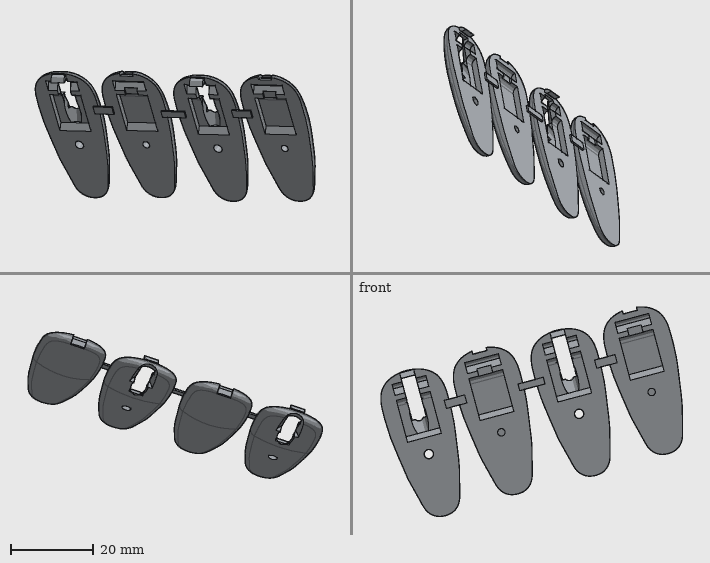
import cadquery as cq
import math


STRIP_TILT = 15.0
HOOK_POD_PITCH = 37.83
SOCKET_POD_OFFSET = 18.4
SOCKET_POD_RISE = 0.55

POD_TOP = 21.07
POD_TIP = -15.52
POD_HALF_WIDTH = 8.17
OUTLINE_RIGHT = [
    (2.5, 20.77), (4.75, 19.95), (6.95, 18.0), (7.92, 15.5), (POD_HALF_WIDTH, 12.0),
    (7.95, 6.0), (7.15, 0.0), (6.37, -5.0), (5.1, -10.0), (3.75, -13.75), (2.1, -15.1),
]
CROWN_Z = 6.5
HOOK_POD_HEIGHT = 3.45
SOCKET_POD_HEIGHT = 4.1
RIM_HEIGHT = 2.3
TOP_HEIGHT = 1.8
TIP_HEIGHT = 1.7
RIM_FILLET = 1.7

POCKET_WIDTH = 8.5
POCKET_DEPTH = 1.5
POCKET_BOTTOM = 4.1
POCKET_TOP = 14.65
POCKET_SLOPE = 1.4
GROOVE_BOTTOM = 15.9
GROOVE_TOP = 18.65
GROOVE_DEPTH = 1.3
GROOVE_ROUND = 1.1

SLOT_WIDTH = 3.5
SLOT_BOTTOM = 9.0
SLOT_TOP = 19.45
RELIEF_RADIUS = 2.0
RELIEF_SLOPE = 25.0
RELIEF_START = POCKET_BOTTOM + 0.2
VALLEY_RADIUS = 3.0
VALLEY_FLOOR = 0.8
VALLEY_BOTTOM = 13.5
HOOK_WIDTH = 3.55
HOOK_REACH = 1.84
HOOK_TOP = 20.85
HOOK_SHOULDER = 0.3
HOOK_BACK_MIDDLE = (-1.25, 20.25)
HOOK_ROOT = 0.75
HOOK_HEEL = 0.6
HOOK_HOLE_DIAMETER = 2.2

NOTCH_WIDTH = 3.5
RIM_NOTCH_FLOOR = 20.15
RIM_NOTCH_STEP = 0.65
RIM_NOTCH_DEEP_FLOOR = 19.45
RIM_NOTCH_HEIGHT = 2.05
BAR_NOTCH_BOTTOM = 14.2
BAR_NOTCH_TOP = 16.45
BAR_NOTCH_DEPTH = 0.5
SOCKET_HOLE_DIAMETER = 1.8
SOCKET_HOLE_DEPTH = 2.0

BAR_THICKNESS = 0.45
HOOK_POD_BAR = (7.0, 12.15, 9.6, 11.65)
SOCKET_POD_BAR = (6.95, 13.3, 8.6, 10.3)

ARC_MIDDLE = math.sqrt(0.5)
DOME_OVERRUN = 1.0
DOME_SWEEP = 30.0
CLEARANCE = 10.0


def box(x_min, x_max, y_min, y_max, z_min, z_max):
    size = (x_max - x_min, y_max - y_min, z_max - z_min)
    return cq.Workplane("XY").box(*size, centered=False).translate((x_min, y_min, z_min))


def centered_box(width, y_min, y_max, z_min, z_max):
    return box(-width / 2, width / 2, y_min, y_max, z_min, z_max)


def pin_hole(diameter, depth):
    return cq.Workplane("XZ").circle(diameter / 2).extrude(-depth)


def arc_radius(run, drop):
    """Radius of an arc that leaves level and drops by `drop` over `run`."""
    return (run ** 2 + drop ** 2) / (2 * drop)


def dome_half(height, end_z, end_height):
    """Crowned solid from the highest station to one end of the pod, curved both ways."""
    cross_radius = arc_radius(POD_HALF_WIDTH, height - RIM_HEIGHT)
    long_radius = arc_radius(abs(end_z - CROWN_Z), height - end_height)
    half_width = POD_HALF_WIDTH + DOME_OVERRUN
    edge_height = height - cross_radius + math.sqrt(cross_radius ** 2 - half_width ** 2)
    base = -CLEARANCE
    axis_y = height - long_radius
    toward_top = end_z > CROWN_Z
    section = (
        cq.Workplane("XY", origin=(0, 0, CROWN_Z))
        .moveTo(-half_width, base)
        .lineTo(-half_width, edge_height)
        .spline([(0, height), (half_width, edge_height)], includeCurrent=True)
        .lineTo(half_width, base)
        .close()
    )
    axis_end = 1 if toward_top else -1
    return section.revolve(DOME_SWEEP, (0, axis_y), (axis_end, axis_y))


def pod_blank(height):
    left = [(-x, z) for x, z in reversed(OUTLINE_RIGHT)]
    points = [(0, POD_TOP)] + OUTLINE_RIGHT + [(0, POD_TIP)] + left
    outline = cq.Workplane("XZ").spline(points, periodic=True).close().extrude(-CLEARANCE)
    dome = dome_half(height, POD_TOP, TOP_HEIGHT).union(dome_half(height, POD_TIP, TIP_HEIGHT))
    blank = outline.intersect(dome)
    rim = [edge for edge in blank.edges().vals() if is_rim(edge)]
    return blank.newObject(rim).fillet(RIM_FILLET)


def is_rim(edge):
    """True for the long edges between the side wall and the dome."""
    bounds = edge.BoundingBox()
    above_flat_face = bounds.ymin > TIP_HEIGHT / 2
    crosses_pod = bounds.zlen < bounds.xlen / 2
    return above_flat_face and not crosses_pod


def pocket():
    section = (
        cq.Workplane("YZ")
        .moveTo(-CLEARANCE, POCKET_BOTTOM)
        .lineTo(0, POCKET_BOTTOM)
        .lineTo(POCKET_DEPTH, POCKET_BOTTOM + POCKET_SLOPE)
        .lineTo(POCKET_DEPTH, POCKET_TOP - POCKET_SLOPE)
        .threePointArc(
            (POCKET_DEPTH * ARC_MIDDLE, POCKET_TOP - POCKET_SLOPE * (1 - ARC_MIDDLE)),
            (0, POCKET_TOP),
        )
        .lineTo(-CLEARANCE, POCKET_TOP)
        .close()
    )
    return section.extrude(POCKET_WIDTH / 2, both=True)


def latch_groove():
    section = (
        cq.Workplane("YZ")
        .moveTo(0, GROOVE_BOTTOM)
        .lineTo(GROOVE_DEPTH, GROOVE_TOP - GROOVE_ROUND)
        .threePointArc(
            (GROOVE_DEPTH * ARC_MIDDLE, GROOVE_TOP - GROOVE_ROUND * (1 - ARC_MIDDLE)),
            (0, GROOVE_TOP),
        )
        .close()
    )
    return section.extrude(POCKET_WIDTH / 2, both=True)


def sloped_relief():
    """Inclined round channel that leads from the pocket floor out through the dome."""
    floor_half_length = RELIEF_RADIUS / math.sin(math.radians(RELIEF_SLOPE))
    axis_z = RELIEF_START + floor_half_length
    channel = (
        cq.Workplane("XY")
        .circle(RELIEF_RADIUS)
        .extrude(2 * CLEARANCE, both=True)
        .rotate((0, 0, 0), (1, 0, 0), -RELIEF_SLOPE)
        .translate((0, POCKET_DEPTH, axis_z))
    )
    pocket_span = centered_box(
        POCKET_WIDTH, 0, CLEARANCE, POCKET_BOTTOM + POCKET_SLOPE, POCKET_TOP - POCKET_SLOPE
    )
    return channel.intersect(pocket_span)


def dome_valley():
    """Round valley along the dome that clears the back of the hook."""
    return (
        cq.Workplane("XY", origin=(0, VALLEY_FLOOR + VALLEY_RADIUS, VALLEY_BOTTOM))
        .circle(VALLEY_RADIUS)
        .extrude(CLEARANCE)
    )


def hook():
    section = (
        cq.Workplane("YZ")
        .moveTo(0, HOOK_TOP)
        .lineTo(-HOOK_SHOULDER, HOOK_TOP)
        .threePointArc(HOOK_BACK_MIDDLE, (-HOOK_REACH, SLOT_TOP))
        .lineTo(-HOOK_HEEL, SLOT_TOP)
        .lineTo(0, HOOK_TOP - HOOK_ROOT)
        .close()
    )
    return section.extrude(HOOK_WIDTH / 2, both=True)


def joining_bar(left, right, lower, upper):
    return box(left, right, -BAR_THICKNESS, 0, lower, upper)


def hook_pod():
    slot = centered_box(SLOT_WIDTH, -CLEARANCE, CLEARANCE, SLOT_BOTTOM, SLOT_TOP)
    return (
        pod_blank(HOOK_POD_HEIGHT)
        .cut(pocket())
        .cut(latch_groove())
        .cut(slot)
        .cut(sloped_relief())
        .cut(dome_valley())
        .cut(pin_hole(HOOK_HOLE_DIAMETER, CLEARANCE))
        .union(hook())
        .union(joining_bar(*HOOK_POD_BAR))
    )


def rim_notch():
    section = (
        cq.Workplane("YZ")
        .moveTo(0, POD_TOP + CLEARANCE)
        .lineTo(0, RIM_NOTCH_FLOOR)
        .lineTo(RIM_NOTCH_STEP, RIM_NOTCH_FLOOR)
        .lineTo(RIM_NOTCH_HEIGHT, RIM_NOTCH_DEEP_FLOOR)
        .lineTo(RIM_NOTCH_HEIGHT, POD_TOP + CLEARANCE)
        .close()
    )
    return section.extrude(NOTCH_WIDTH / 2, both=True)


def socket_pod():
    bar_notch = centered_box(NOTCH_WIDTH, 0, BAR_NOTCH_DEPTH, BAR_NOTCH_BOTTOM, BAR_NOTCH_TOP)
    return (
        pod_blank(SOCKET_POD_HEIGHT)
        .cut(pocket())
        .cut(latch_groove())
        .cut(rim_notch())
        .cut(bar_notch)
        .cut(pin_hole(SOCKET_HOLE_DIAMETER, SOCKET_HOLE_DEPTH))
    )


def strip():
    hook_half = hook_pod()
    socket_half = socket_pod().translate((SOCKET_POD_OFFSET, 0, SOCKET_POD_RISE))
    link = joining_bar(*SOCKET_POD_BAR).translate((SOCKET_POD_OFFSET, 0, SOCKET_POD_RISE))
    pair = hook_half.union(socket_half)
    next_pair = pair.translate((HOOK_POD_PITCH, 0, 0))
    return pair.union(link).union(next_pair)


result = strip().rotate((0, 0, 0), (0, 1, 0), -STRIP_TILT)